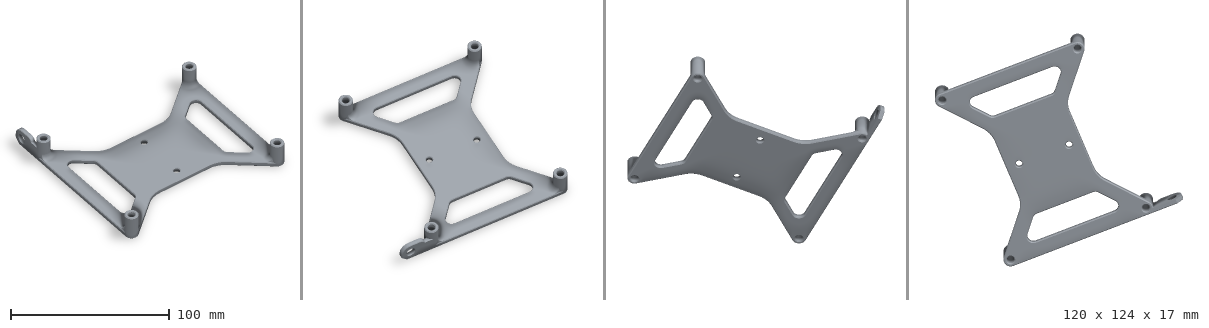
import cadquery as cq
import math

boss_pitch_x = 92.0
boss_pitch_y = 115.0
boss_diameter = 9.0
boss_height = 17.0
boss_hole_diameter = 4.7
edge_chamfer = 0.6
plate_top_chamfer = 0.5
lug_chamfer = 0.4
selection_margin = 0.1

plate_thickness = 3.5
waist_width = 51.1
arm_angle = 50.3
waist_fillet = 16.7
mount_hole_pitch = 34.0
mount_hole_diameter = 4.2

window_outer_y = 52.2
window_inner_y = 35.1
window_inner_half_length = 21.0
window_corner_radius = 4.0

flare_radius = 3.5
flare_edge_taper = 12

lug_thickness = 3.0
lug_hole_diameter = 6.5
lug_radius = 6.5
lug_hole_z = 6.5
lug_overhang = 19.0
lug_corner_cut = 4.0
lug_step_z = 10.2
lug_shoulder_radius = 4.0
lug_shoulder_offset = 6.5

boss_radius = boss_diameter / 2
boss_x = boss_pitch_x / 2
boss_y = boss_pitch_y / 2
front_y = -boss_y - boss_radius
slope = math.tan(math.radians(arm_angle))


def plate_outline():
    """Waisted outline: each arm edge touches a boss, whose round side forms the corner."""
    half_waist = waist_width / 2
    arm_end_x = boss_x + boss_radius * math.sin(math.radians(arm_angle))
    arm_end_y = boss_y - boss_radius * math.cos(math.radians(arm_angle))
    waist_y = arm_end_y - (arm_end_x - half_waist) * slope
    right_side = [
        (boss_x, -front_y),
        (arm_end_x, arm_end_y),
        (half_waist, waist_y),
        (half_waist, -waist_y),
        (arm_end_x, -arm_end_y),
        (boss_x, front_y),
    ]
    left_side = [(-x, -y) for x, y in right_side]
    return cq.Workplane("XY").polyline(right_side + left_side).close()


def waist_corners(solid):
    """Round the four concave corners where the arms meet the waist."""
    reach = waist_width / 2 + selection_margin
    waist_box = cq.selectors.BoxSelector((-reach, -boss_y, 0), (reach, boss_y, plate_thickness))
    return solid.edges("|Z").edges(waist_box).fillet(waist_fillet)


def window(side):
    """Trapezoidal opening; side is +1 or -1 along Y."""
    outer_half_length = window_inner_half_length + (window_outer_y - window_inner_y) / slope
    corners = [
        (-outer_half_length, side * window_outer_y),
        (outer_half_length, side * window_outer_y),
        (window_inner_half_length, side * window_inner_y),
        (-window_inner_half_length, side * window_inner_y),
    ]
    prism = cq.Workplane("XY").polyline(corners).close().extrude(plate_thickness)
    return prism.edges("|Z").fillet(window_corner_radius)


def plate():
    """Plate with its windows and mounting holes, chamfered on both faces."""
    blank = waist_corners(plate_outline().extrude(plate_thickness))
    for side in (1, -1):
        blank = blank.cut(window(side))
    holes = (
        cq.Workplane("XY")
        .rarray(mount_hole_pitch, 1.2, 2, 1)
        .circle(mount_hole_diameter / 2)
        .extrude(plate_thickness)
    )
    blank = blank.cut(holes)
    blank = blank.faces("<Z").edges().chamfer(edge_chamfer)
    return blank.faces(">Z").edges().chamfer(plate_top_chamfer)


def flare(x, y):
    """Concave ring blending a boss into the plate."""
    rim = boss_radius + flare_radius
    top = plate_thickness + flare_radius
    bulge = flare_radius * (1 - math.sqrt(0.5))
    return (
        cq.Workplane("XZ")
        .moveTo(0, plate_thickness)
        .lineTo(rim, plate_thickness)
        .threePointArc((boss_radius + bulge, plate_thickness + bulge), (boss_radius, top))
        .lineTo(0, top)
        .close()
        .revolve(360, (0, 0), (0, 1))
        .translate((x, y, 0))
    )


def boss(x, y):
    """Standing cylinder chamfered at both ends."""
    cylinder = cq.Workplane("XY").circle(boss_radius).extrude(boss_height)
    return cylinder.edges().chamfer(edge_chamfer).translate((x, y, 0))


def boss_hole(x, y):
    """Through hole with a chamfered mouth at both ends."""
    radius = boss_hole_diameter / 2
    mouth = radius + edge_chamfer
    return (
        cq.Workplane("XZ")
        .polyline([
            (0, 0),
            (mouth, 0),
            (radius, edge_chamfer),
            (radius, boss_height - edge_chamfer),
            (mouth, boss_height),
            (0, boss_height),
        ])
        .close()
        .revolve(360, (0, 0), (0, 1))
        .translate((x, y, 0))
    )


def lug():
    """Upright ear on the front left boss, with a square block filling the boss corner."""
    hole_x = -boss_x - boss_radius - lug_overhang + lug_radius
    left_x = hole_x - lug_radius
    top_z = lug_hole_z + lug_radius
    diagonal = lug_radius * math.sqrt(0.5)
    shoulder_x = hole_x + lug_shoulder_offset
    shoulder_z = top_z - lug_shoulder_radius
    step_x = shoulder_x + math.sqrt(lug_shoulder_radius**2 - (lug_step_z - shoulder_z) ** 2)
    arc_end_angle = math.asin((lug_step_z - shoulder_z) / lug_shoulder_radius)
    arc_middle_angle = (math.pi / 2 + arc_end_angle) / 2
    shoulder_middle = (
        shoulder_x + lug_shoulder_radius * math.cos(arc_middle_angle),
        shoulder_z + lug_shoulder_radius * math.sin(arc_middle_angle),
    )
    lug_hole = (
        cq.Workplane("XZ", origin=(hole_x, front_y, lug_hole_z))
        .circle(lug_hole_diameter / 2)
        .extrude(-lug_thickness)
    )
    rounded_part = cq.selectors.BoxSelector(
        (left_x - selection_margin, front_y - selection_margin, edge_chamfer),
        (step_x, front_y + selection_margin, top_z + selection_margin),
    )
    ear = (
        cq.Workplane("XZ", origin=(0, front_y, 0))
        .moveTo(-boss_x, 0)
        .lineTo(left_x + lug_corner_cut, 0)
        .lineTo(left_x, lug_corner_cut)
        .lineTo(left_x, lug_hole_z)
        .threePointArc((hole_x - diagonal, lug_hole_z + diagonal), (hole_x, top_z))
        .lineTo(shoulder_x, top_z)
        .threePointArc(shoulder_middle, (step_x, lug_step_z))
        .lineTo(-boss_x, lug_step_z)
        .close()
        .extrude(-lug_thickness)
        .faces("<Y")
        .edges(rounded_part)
        .chamfer(lug_chamfer)
        .cut(lug_hole)
    )
    block = (
        cq.Workplane("XY")
        .box(boss_radius, boss_radius, lug_step_z, centered=False)
        .translate((-boss_x - boss_radius, front_y, 0))
        .faces("<Z")
        .edges("<X")
        .chamfer(edge_chamfer)
    )
    return ear.union(block).faces("<Y").edges("<Z").chamfer(edge_chamfer)


boss_centers = [(x, y) for x in (-boss_x, boss_x) for y in (-boss_y, boss_y)]

flare_limit = (
    plate_outline()
    .offset2D(-plate_top_chamfer)
    .extrude(flare_radius, taper=flare_edge_taper)
    .translate((0, 0, plate_thickness))
)

result = plate()
for x, y in boss_centers:
    result = result.union(boss(x, y))
for x, y in boss_centers:
    result = result.union(flare(x, y).intersect(flare_limit))
result = result.union(lug())
for x, y in boss_centers:
    result = result.cut(boss_hole(x, y))